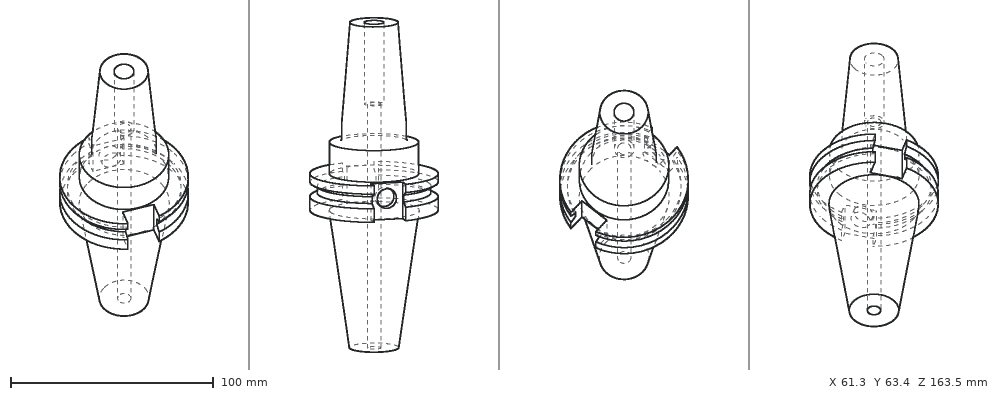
import cadquery as cq

total_height = 163.5
gauge_height = 68.4
gauge_radius = 22.2
taper_ratio = 7 / 24
shank_end_radius = gauge_radius - gauge_height * taper_ratio / 2

flange_radius = 31.7
flange_bottom = 69.2
flange_top = 87.5
groove_radius = 28.1
groove_height = 79.6
groove_floor_width = 3.5
groove_mouth_width = 7.4

collar_radius = 22.0
collar_top = 103.4
nose_radius = 16.0
nose_fillet = 1.6
nose_taper_start = 113.0
nose_tip_radius = 12.0

through_diameter = 6.5
tool_bore_diameter = 9.8
tool_bore_depth = 40.9

slot_width = 16.2
left_slot_floor = 24.9
right_slot_floor = 22.4
floor_hole_diameter = 9.8
floor_hole_depth = 4.9


def revolved_body():
    """Solid of revolution: shank, flange, collar and nose."""
    mouth = groove_mouth_width / 2
    floor = groove_floor_width / 2
    return (
        cq.Workplane("XZ")
        .lineTo(shank_end_radius, 0)
        .lineTo(gauge_radius, gauge_height)
        .lineTo(gauge_radius, flange_bottom)
        .lineTo(flange_radius, flange_bottom)
        .lineTo(flange_radius, groove_height - mouth)
        .lineTo(groove_radius, groove_height - floor)
        .lineTo(groove_radius, groove_height + floor)
        .lineTo(flange_radius, groove_height + mouth)
        .lineTo(flange_radius, flange_top)
        .lineTo(collar_radius, flange_top)
        .lineTo(collar_radius, collar_top)
        .lineTo(nose_radius + nose_fillet, collar_top)
        .radiusArc((nose_radius, collar_top + nose_fillet), nose_fillet)
        .lineTo(nose_radius, nose_taper_start)
        .lineTo(nose_tip_radius, total_height)
        .lineTo(0, total_height)
        .close()
        .revolve(360, (0, 0, 0), (0, 1, 0))
    )


def axial_bores():
    """Through bore with a wider tool bore from the nose tip."""
    through = cq.Workplane("XY").circle(through_diameter / 2).extrude(total_height)
    tool_bore = (
        cq.Workplane("XY", origin=(0, 0, total_height))
        .circle(tool_bore_diameter / 2)
        .extrude(-tool_bore_depth)
    )
    return through.union(tool_bore)


def drive_slot(floor_distance, side):
    """Slot through the flange height on the +X (side=1) or -X (side=-1) side."""
    return (
        cq.Workplane("YZ", origin=(side * floor_distance, 0, (flange_bottom + flange_top) / 2))
        .rect(slot_width, flange_top - flange_bottom)
        .extrude(side * flange_radius)
    )


def floor_hole():
    """Blind hole in the floor of the -X slot, level with the groove."""
    return (
        cq.Workplane("YZ", origin=(-left_slot_floor, 0, groove_height))
        .circle(floor_hole_diameter / 2)
        .extrude(floor_hole_depth)
    )


result = (
    revolved_body()
    .cut(axial_bores())
    .cut(drive_slot(left_slot_floor, -1))
    .cut(drive_slot(right_slot_floor, 1))
    .cut(floor_hole())
)